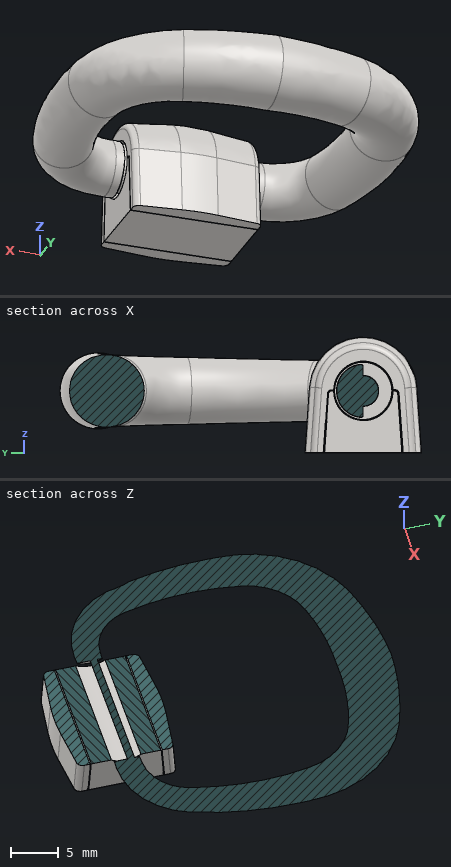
import math

import cadquery as cq

AXIS_Z = 6.5
GAP = 0.1
DRAFT = math.radians(4.0)

HOUSING_HALF_LENGTH = 7.1
CROWN_RADIUS = 5.66
CROWN_HALF_LENGTH = 2.0
CROWN_TAPER = math.radians(6.3)
END_ROUND = 0.7
BORE_DIAMETER = 6.2
WALL_REACH = 2 * AXIS_Z
POCKET_HALF_WIDTH = 4.17
POCKET_CORNER_RADIUS = 0.4

RING_END_DIAMETER = 6.0
RING_BOW_DIAMETER = 8.0
RING_END_X = 7.33
LEAD_LENGTH = 0.955
LOWER_CORNER_RADIUS = 6.854
LOWER_CORNER_ANGLE = math.radians(73.4)
SIDE_RADIUS = 31.69
SIDE_ANGLE = math.radians(24.8)
UPPER_CORNER_RADIUS = 9.712
UPPER_CORNER_ANGLE = math.radians(63.8)

CORE_RADIUS = 2.8
CORE_EDGE_ROUND = 0.25
PIN_DIAMETER = 3.24

CROSS_PLANE = cq.Plane(origin=(0, 0, 0), xDir=(0, 1, 0), normal=(1, 0, 0))


def cross_section(half_length):
    """Workplane across X, placed so that an extrusion of 2 * half_length is centred on x = 0."""
    return cq.Workplane(CROSS_PLANE).workplane(offset=-half_length)


def axial_cylinder(radius, half_length):
    return cross_section(half_length).center(0, AXIS_Z).circle(radius).extrude(2 * half_length)


def tapered_block(half_width, height, half_length):
    """Block on z = 0 whose +Y and -Y sides lean inward by the draft angle."""
    top_half_width = half_width - height * math.tan(DRAFT)
    return cross_section(half_length).polyline([
        (-half_width, 0), (half_width, 0), (top_half_width, height), (-top_half_width, height),
    ]).close().extrude(2 * half_length)


def crown_profile(plane):
    """Barrel half-section: local x along the hinge axis, local y outward from it."""
    arc_radius = CROWN_HALF_LENGTH / math.sin(CROWN_TAPER)
    arc_centre = CROWN_RADIUS - arc_radius
    shoulder = arc_centre + arc_radius * math.cos(CROWN_TAPER)

    round_x = HOUSING_HALF_LENGTH - END_ROUND
    taper_at_round = shoulder - (round_x - CROWN_HALF_LENGTH) * math.tan(CROWN_TAPER)
    round_y = taper_at_round - END_ROUND / math.cos(CROWN_TAPER)

    def on_round(angle):
        return (round_x + END_ROUND * math.sin(angle), round_y + END_ROUND * math.cos(angle))

    def mirrored(point):
        return (-point[0], point[1])

    round_start = on_round(CROWN_TAPER)
    round_middle = on_round((CROWN_TAPER + math.pi / 2) / 2)
    round_end = on_round(math.pi / 2)
    return (
        cq.Workplane(plane)
        .moveTo(-HOUSING_HALF_LENGTH, 0)
        .lineTo(*mirrored(round_end))
        .threePointArc(mirrored(round_middle), mirrored(round_start))
        .lineTo(-CROWN_HALF_LENGTH, shoulder)
        .threePointArc((0, CROWN_RADIUS), (CROWN_HALF_LENGTH, shoulder))
        .lineTo(*round_start)
        .threePointArc(round_middle, round_end)
        .lineTo(HOUSING_HALF_LENGTH, 0)
        .close()
    )


def side_wall(side):
    """Crown profile carried down the drafted side wall; side is +1 for +Y and -1 for -Y."""
    outward = cq.Vector(0, side * math.cos(DRAFT), math.sin(DRAFT))
    along_x = cq.Vector(1, 0, 0)
    plane = cq.Plane(origin=(0, 0, AXIS_Z), xDir=along_x, normal=along_x.cross(outward))
    return crown_profile(plane).extrude(-side * WALL_REACH)


def make_housing():
    axis_plane = cq.Plane(origin=(0, 0, AXIS_Z), xDir=(1, 0, 0), normal=(0, -1, 0))
    body = crown_profile(axis_plane).revolve(360, (0, 0, 0), (1, 0, 0))
    for side in (1, -1):
        body = body.union(side_wall(side))

    trim_size = 4 * HOUSING_HALF_LENGTH
    below_base = cq.Workplane("XY").rect(trim_size, trim_size).extrude(-trim_size)
    pocket = tapered_block(POCKET_HALF_WIDTH, AXIS_Z + GAP, HOUSING_HALF_LENGTH)
    pocket = pocket.edges("|X and >Z").fillet(POCKET_CORNER_RADIUS)
    bore = axial_cylinder(BORE_DIAMETER / 2, HOUSING_HALF_LENGTH)
    return body.cut(below_base).cut(pocket).cut(bore).solids()


def make_insert():
    """Block that closes the housing pocket from below and carries the lower half of the bore."""
    block = tapered_block(POCKET_HALF_WIDTH - GAP, AXIS_Z, HOUSING_HALF_LENGTH)
    block = block.edges("|X and >Z").fillet(POCKET_CORNER_RADIUS - GAP)
    return block.cut(axial_cylinder(BORE_DIAMETER / 2, HOUSING_HALF_LENGTH)).solids()


def bow_arcs():
    """Centre line of the +X half of the ring: (middle point, end point) of each arc in turn."""
    arcs = []
    x = RING_END_X + LEAD_LENGTH
    y = 0.0
    heading = 0.0

    def arc_point(radius, turn):
        return (
            x + radius * (math.sin(heading + turn) - math.sin(heading)),
            y + radius * (math.cos(heading) - math.cos(heading + turn)),
        )

    for radius, angle in (
        (LOWER_CORNER_RADIUS, LOWER_CORNER_ANGLE),
        (SIDE_RADIUS, SIDE_ANGLE),
        (UPPER_CORNER_RADIUS, UPPER_CORNER_ANGLE),
    ):
        middle = arc_point(radius, angle / 2)
        end = arc_point(radius, angle)
        arcs.append((middle, end))
        x, y = end
        heading += angle

    bow_angle = math.pi - heading
    bow_radius = x / math.sin(bow_angle)
    arcs.append((arc_point(bow_radius, bow_angle / 2), arc_point(bow_radius, bow_angle)))
    return arcs


def make_half_bow():
    arcs = bow_arcs()
    path = (
        cq.Workplane("XY", origin=(0, 0, AXIS_Z))
        .moveTo(RING_END_X, 0)
        .lineTo(RING_END_X + LEAD_LENGTH, 0)
    )
    for middle, end in arcs:
        path = path.threePointArc(middle, end)
    bow_x, bow_y = arcs[-1][1]

    end_plane = cq.Plane(origin=(RING_END_X, 0, AXIS_Z), xDir=(0, -1, 0), normal=(1, 0, 0))
    bow_plane = cq.Plane(origin=(bow_x, bow_y, AXIS_Z), xDir=(0, 1, 0), normal=(-1, 0, 0))
    return (
        cq.Workplane(end_plane)
        .circle(RING_END_DIAMETER / 2)
        .copyWorkplane(cq.Workplane(bow_plane))
        .circle(RING_BOW_DIAMETER / 2)
        .sweep(path, multisection=True)
    )


def make_hinge_core():
    half_round = (
        cross_section(RING_END_X)
        .moveTo(0, AXIS_Z - CORE_RADIUS)
        .threePointArc((CORE_RADIUS, AXIS_Z), (0, AXIS_Z + CORE_RADIUS))
        .close()
        .extrude(2 * RING_END_X)
        .edges("|X")
        .fillet(CORE_EDGE_ROUND)
    )
    return half_round.union(axial_cylinder(PIN_DIAMETER / 2, RING_END_X))


def make_ring():
    half_bow = make_half_bow()
    return half_bow.union(half_bow.mirror("YZ")).union(make_hinge_core()).solids()


housing = make_housing()
insert = make_insert()
ring = make_ring()

result = cq.Compound.makeCompound([housing.val(), insert.val(), ring.val()])